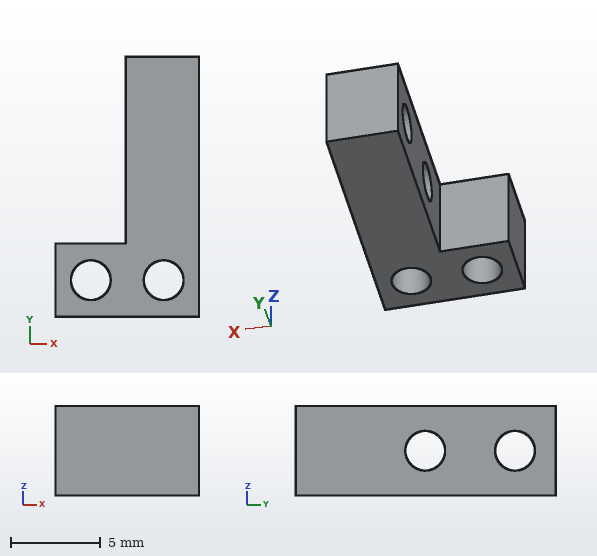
import cadquery as cq

width = 8.0
length = 14.48
height = 5.0

arm_width = 4.08
foot_depth = 4.08

hole_diameter = 2.2
foot_hole_side_margin = 1.97
arm_hole_end_margin = 2.27
arm_hole_spacing = 5.0


def block(x_size, y_size):
    """Full-height block with its -X, -Y, -Z corner at the origin."""
    return cq.Workplane("XY").box(x_size, y_size, height, centered=False)


def make_body():
    arm = block(arm_width, length).translate((width - arm_width, 0, 0))
    foot = block(width, foot_depth)
    return arm.union(foot)


def foot_holes():
    """Two vertical holes, centred on the depth of the foot."""
    centers = [
        (x, foot_depth / 2)
        for x in (foot_hole_side_margin, width - foot_hole_side_margin)
    ]
    return cq.Workplane("XY").pushPoints(centers).circle(hole_diameter / 2).extrude(height)


def arm_holes():
    """Two holes through the arm along X, centred on its height."""
    last_hole_y = length - arm_hole_end_margin
    centers = [(y, height / 2) for y in (last_hole_y - arm_hole_spacing, last_hole_y)]
    return cq.Workplane("YZ").pushPoints(centers).circle(hole_diameter / 2).extrude(width)


result = make_body().cut(foot_holes()).cut(arm_holes())